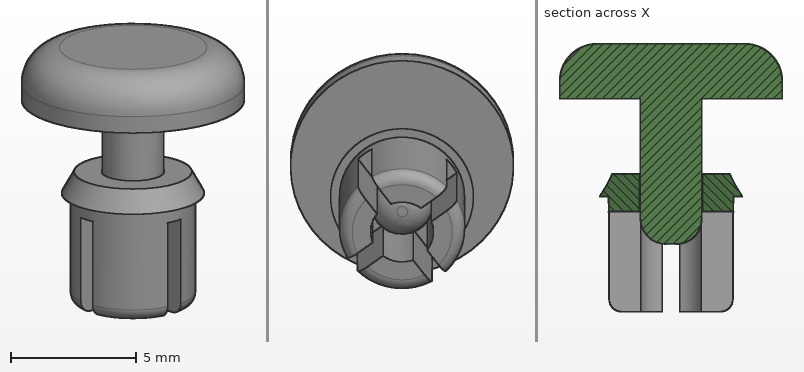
import cadquery as cq

total_height = 10.7

head_diameter = 8.9
head_height = 2.2
head_round = 1.51
shank_diameter = 2.47
shank_tip_height = 2.7
shank_tip_round = 1.02

sleeve_height = 5.5
sleeve_diameter = 5.0
sleeve_bottom_round = 0.5
bore_diameter = 2.5
collar_height = 0.9
collar_top_diameter = 4.7
collar_bottom_diameter = 5.7
slot_width = 0.7
slot_height = 4.0

head_bottom = total_height - head_height
collar_bottom = sleeve_height - collar_height


def make_pin():
    """Shank with a rounded tip, carrying a head with a rounded upper rim."""
    shank = (
        cq.Workplane("XY", origin=(0, 0, shank_tip_height))
        .circle(shank_diameter / 2)
        .extrude(head_bottom - shank_tip_height)
        .faces("<Z")
        .edges()
        .fillet(shank_tip_round)
    )
    head = (
        cq.Workplane("XY", origin=(0, 0, head_bottom))
        .circle(head_diameter / 2)
        .extrude(head_height)
        .faces(">Z")
        .edges()
        .fillet(head_round)
    )
    return shank.union(head)


def make_collar():
    """Solid cone that widens downwards."""
    return (
        cq.Workplane("XY", origin=(0, 0, collar_bottom))
        .circle(collar_bottom_diameter / 2)
        .workplane(offset=collar_height)
        .circle(collar_top_diameter / 2)
        .loft(ruled=True)
    )


def make_slots():
    """Two crossed slots that split the lower sleeve into four legs."""
    along_x = cq.Workplane("XY").rect(head_diameter, slot_width).extrude(slot_height)
    along_y = cq.Workplane("XY").rect(slot_width, head_diameter).extrude(slot_height)
    return along_x.union(along_y)


def make_sleeve():
    """Collared tube, bored through for the shank and slotted from below."""
    barrel = (
        cq.Workplane("XY")
        .circle(sleeve_diameter / 2)
        .extrude(collar_bottom)
        .faces("<Z")
        .edges()
        .fillet(sleeve_bottom_round)
    )
    bore = cq.Workplane("XY").circle(bore_diameter / 2).extrude(sleeve_height)
    return barrel.union(make_collar()).cut(bore).cut(make_slots())


pin = make_pin()
sleeve = make_sleeve()

result = cq.Compound.makeCompound([pin.val(), sleeve.val()])